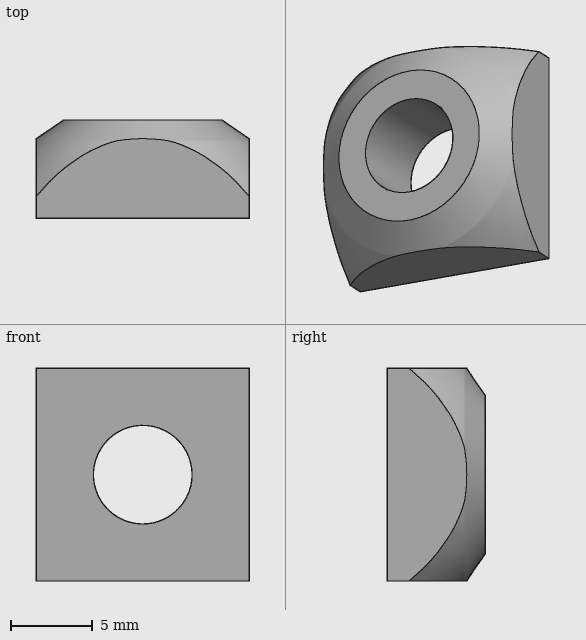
import cadquery as cq

side = 13.0
thickness = 6.0
hole_diameter = 6.0

rear_face_radius = 4.84
cone_joint_radius = 6.7
cone_joint_y = 4.73
corner_edge_y = 1.34
band_bulge = 0.12
corner_radius = side / 2 * 2**0.5


def square_block():
    """Square pad extending from the front face toward +Y."""
    return cq.Workplane("XZ").rect(side, side).extrude(-thickness)


def turned_envelope():
    """Solid of revolution that rounds the rear edges and the four corners."""
    profile = (
        cq.Workplane("XY")
        .lineTo(corner_radius, 0)
        .lineTo(corner_radius, corner_edge_y)
        .sagittaArc((cone_joint_radius, cone_joint_y), -band_bulge)
        .lineTo(rear_face_radius, thickness)
        .lineTo(0, thickness)
        .close()
    )
    return profile.revolve(360, (0, 0, 0), (0, 1, 0))


def through_hole():
    """Central bore along Y."""
    return cq.Workplane("XZ").circle(hole_diameter / 2).extrude(-thickness)


result = square_block().intersect(turned_envelope()).cut(through_hole())